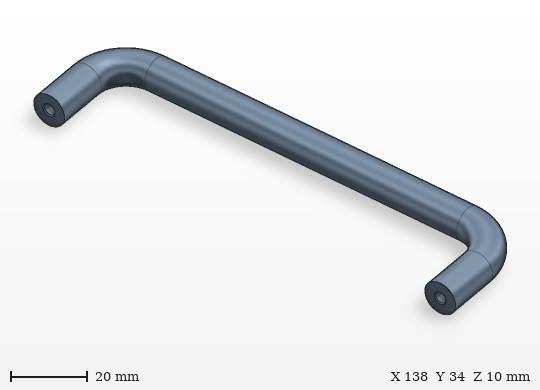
import cadquery as cq

rod_diameter = 10.0
hole_spacing = 128.0
handle_height = 34.0
bend_radius = 13.0
hole_diameter = 3.3
countersink_diameter = 4.0
hole_depth = 12.0

half_spacing = hole_spacing / 2
grip_y = handle_height - rod_diameter / 2
leg_length = grip_y - bend_radius
half_grip = half_spacing - bend_radius


def make_rod():
    """Round bar swept along leg, bend, grip, bend, leg."""
    centreline = (
        cq.Workplane("XY")
        .moveTo(-half_spacing, 0)
        .lineTo(-half_spacing, leg_length)
        .radiusArc((-half_grip, grip_y), bend_radius)
        .lineTo(half_grip, grip_y)
        .radiusArc((half_spacing, leg_length), bend_radius)
        .lineTo(half_spacing, 0)
    )
    section = cq.Workplane("XZ", origin=(-half_spacing, 0, 0)).circle(rod_diameter / 2)
    return section.sweep(centreline)


def make_hole(x):
    """Blind mounting hole up a leg, with a 45 degree countersink at the end face."""
    countersink_depth = (countersink_diameter - hole_diameter) / 2
    profile = (
        cq.Workplane("XY", origin=(x, 0, 0))
        .lineTo(countersink_diameter / 2, 0)
        .lineTo(hole_diameter / 2, countersink_depth)
        .lineTo(hole_diameter / 2, hole_depth)
        .lineTo(0, hole_depth)
        .close()
    )
    return profile.revolve(360, (0, 0, 0), (0, 1, 0))


result = make_rod()
for leg_x in (-half_spacing, half_spacing):
    result = result.cut(make_hole(leg_x))